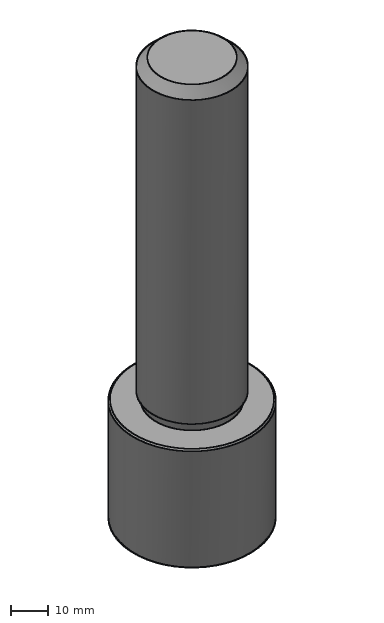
import cadquery as cq

total_length = 155.0
head_diameter = 45.0
head_height = 40.0
head_rim_chamfer = 0.5
undercut_diameter = 27.7
undercut_height = 3.0
shank_diameter = 30.0
tip_chamfer = 3.0

undercut_top = head_height + undercut_height
shank_length = total_length - undercut_top


def make_cylinder(diameter, base_height, length):
    """Cylinder on the Z axis, rising from base_height."""
    base = cq.Workplane("XY").workplane(offset=base_height)
    return base.circle(diameter / 2).extrude(length)


def make_head():
    """Round head standing on Z = 0, with both rims lightly chamfered."""
    head = make_cylinder(head_diameter, 0, head_height)
    return head.faces("|Z").edges().chamfer(head_rim_chamfer)


def make_undercut():
    """Narrow relief neck between the head and the shank."""
    return make_cylinder(undercut_diameter, head_height, undercut_height)


def make_shank():
    """Plain cylindrical shank with a chamfered free end."""
    shank = make_cylinder(shank_diameter, undercut_top, shank_length)
    return shank.faces(">Z").edges().chamfer(tip_chamfer)


result = make_head().union(make_undercut()).union(make_shank())